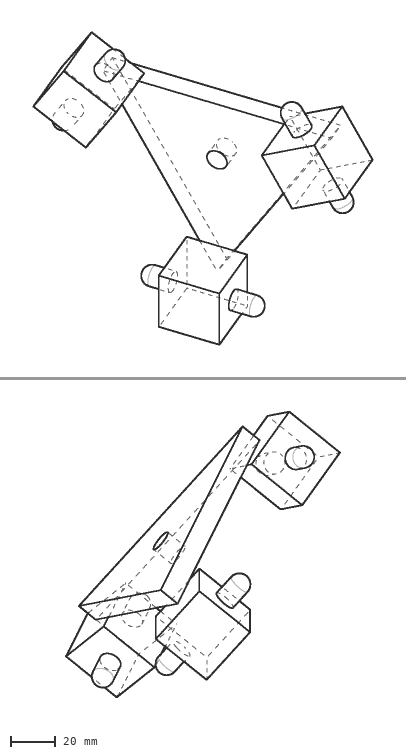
import cadquery as cq
import math

overall_width = 153.5
block_size = 30.0
plate_thickness = 10.0
pin_length = 60.0
pin_diameter = 10.0
hole_diameter = 10.0
arm_count = 3

arm_angle = math.radians(30)
corner_reach = block_size / 2 * (math.cos(arm_angle) + math.sin(arm_angle))
block_radius = (overall_width / 2 - corner_reach) / math.cos(arm_angle)


def make_plate():
    """Triangular plate with its corners at the block centres and a central hole."""
    half_side = block_radius * math.cos(arm_angle)
    top_edge = block_radius * math.sin(arm_angle)
    return (
        cq.Workplane("XZ")
        .polyline([(0, -block_radius), (half_side, top_edge), (-half_side, top_edge)])
        .close()
        .extrude(-plate_thickness)
        .faces("<Y")
        .workplane(origin=(0, 0, 0))
        .hole(hole_diameter)
    )


def make_block_with_pin():
    """Lower block with a round-ended pin running through its centre along X."""
    block_centre = (0, -block_size / 2, -block_radius)
    pin_radius = pin_diameter / 2
    straight_length = pin_length - pin_diameter
    block = cq.Workplane("XY").box(block_size, block_size, block_size)
    pin = cq.Workplane("YZ").circle(pin_radius).extrude(straight_length / 2, both=True)
    for side in (-1, 1):
        dome = cq.Workplane("XY").sphere(pin_radius).translate((side * straight_length / 2, 0, 0))
        pin = pin.union(dome)
    return block.union(pin).translate(block_centre)


result = make_plate()
block_with_pin = make_block_with_pin()
for index in range(arm_count):
    turn = 360 / arm_count * index
    result = result.union(block_with_pin.rotate((0, 0, 0), (0, 1, 0), turn))